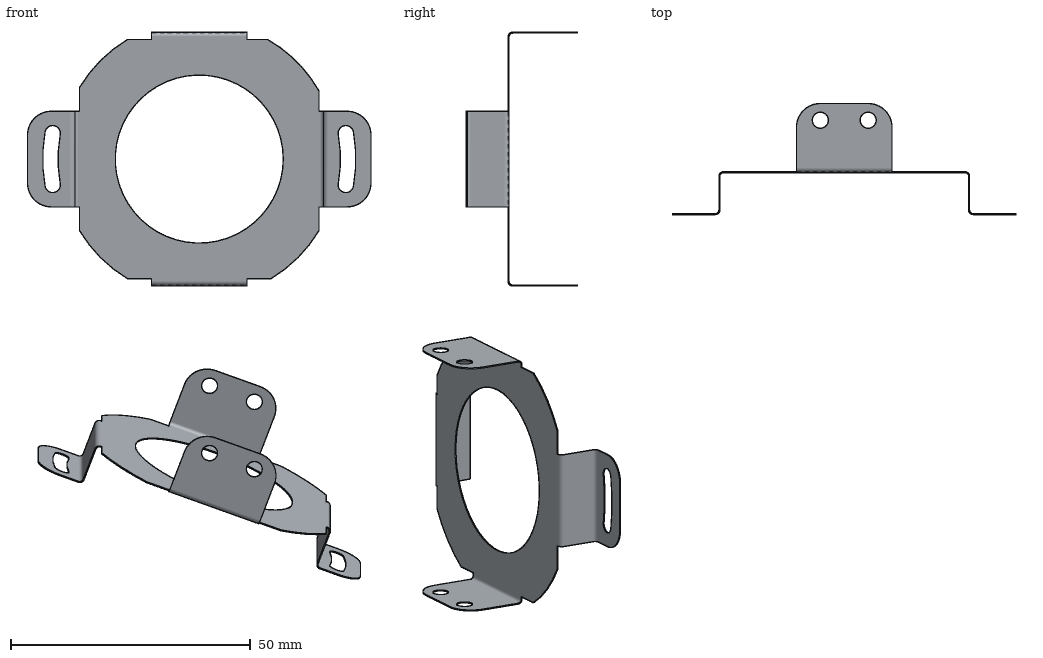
import cadquery as cq
import math

thickness = 0.25
bend_radius = 0.85
half_sheet = thickness / 2

plate_side = 50.0
corner_circle_radius = 29.1
trimmed_corner_radius = 28.75
opening_radius = 17.5

tab_width = 20.0
tab_corner_radius = 5.0
tab_overlap = 0.7

overall_width = 71.7
side_wall_span = 52.35
side_tab_depth = 8.75
slot_path_radius = 31.05
slot_width = 3.15
slot_half_angle = 10.0

overall_height = 53.0
back_tab_length = 14.5
hole_diameter = 3.3
hole_spacing = 10.0
hole_tip_distance = 3.5

cut_length = 2 * overall_width


def disc(radius):
    return cq.Workplane("XZ").circle(radius).extrude(-thickness)


def make_plate():
    square = cq.Workplane("XZ").rect(plate_side, plate_side).extrude(-thickness)
    quarter = (
        cq.Workplane("XZ")
        .rect(plate_side / 2, plate_side / 2, centered=False)
        .extrude(-thickness)
    )
    corner_trim = quarter.cut(disc(trimmed_corner_radius))
    return square.intersect(disc(corner_circle_radius)).cut(corner_trim)


def make_slot_cutter():
    """Slot bent along an arc around the plate centre, on the +X side."""
    angle = math.radians(slot_half_angle)
    inner = slot_path_radius - slot_width / 2
    outer = slot_path_radius + slot_width / 2

    def on_arc(radius, turn):
        return (radius * math.cos(turn), radius * math.sin(turn))

    def end_cap(turn):
        """Tip of the round slot end that is centred at the given angle."""
        x, z = on_arc(slot_path_radius, turn)
        reach = math.copysign(slot_width / 2, turn)
        return (x - reach * math.sin(turn), z + reach * math.cos(turn))

    return (
        cq.Workplane("XZ")
        .moveTo(*on_arc(outer, -angle))
        .threePointArc((outer, 0), on_arc(outer, angle))
        .threePointArc(end_cap(angle), on_arc(inner, angle))
        .threePointArc((inner, 0), on_arc(inner, -angle))
        .threePointArc(end_cap(-angle), on_arc(outer, -angle))
        .close()
        .extrude(cut_length, both=True)
    )


def make_side_tab():
    """Tab on the +X side."""
    start_x = plate_side / 2 - tab_overlap
    wall_x = side_wall_span / 2 - half_sheet
    plate_y = half_sheet
    tab_y = half_sheet - side_tab_depth
    path = (
        cq.Workplane("XY")
        .moveTo(start_x, plate_y)
        .lineTo(wall_x - bend_radius, plate_y)
        .tangentArcPoint((wall_x, plate_y - bend_radius), relative=False)
        .lineTo(wall_x, tab_y + bend_radius)
        .tangentArcPoint((wall_x + bend_radius, tab_y), relative=False)
        .lineTo(overall_width / 2, tab_y)
    )
    section = cq.Workplane("YZ", origin=(start_x, plate_y, 0)).rect(thickness, tab_width)
    strip = section.sweep(path)
    strip = strip.faces(">X").edges("|Y").fillet(tab_corner_radius)
    return strip.cut(make_slot_cutter())


def make_back_tab():
    """Top tab."""
    start_z = plate_side / 2 - tab_overlap
    wall_z = overall_height / 2 - half_sheet
    path = (
        cq.Workplane("YZ")
        .moveTo(half_sheet, start_z)
        .lineTo(half_sheet, wall_z - bend_radius)
        .tangentArcPoint((half_sheet + bend_radius, wall_z), relative=False)
        .lineTo(back_tab_length, wall_z)
    )
    section = cq.Workplane("XY", origin=(0, half_sheet, start_z)).rect(tab_width, thickness)
    strip = section.sweep(path)
    strip = strip.faces(">Y").edges("|Z").fillet(tab_corner_radius)
    hole_y = back_tab_length - hole_tip_distance
    holes = (
        cq.Workplane("XY")
        .pushPoints([(-hole_spacing / 2, hole_y), (hole_spacing / 2, hole_y)])
        .circle(hole_diameter / 2)
        .extrude(cut_length)
    )
    return strip.cut(holes)


side_tab = make_side_tab()
back_tab = make_back_tab()

result = (
    make_plate()
    .union(side_tab)
    .union(side_tab.mirror("YZ"))
    .union(back_tab)
    .union(back_tab.mirror("XY"))
    .cut(disc(opening_radius))
)